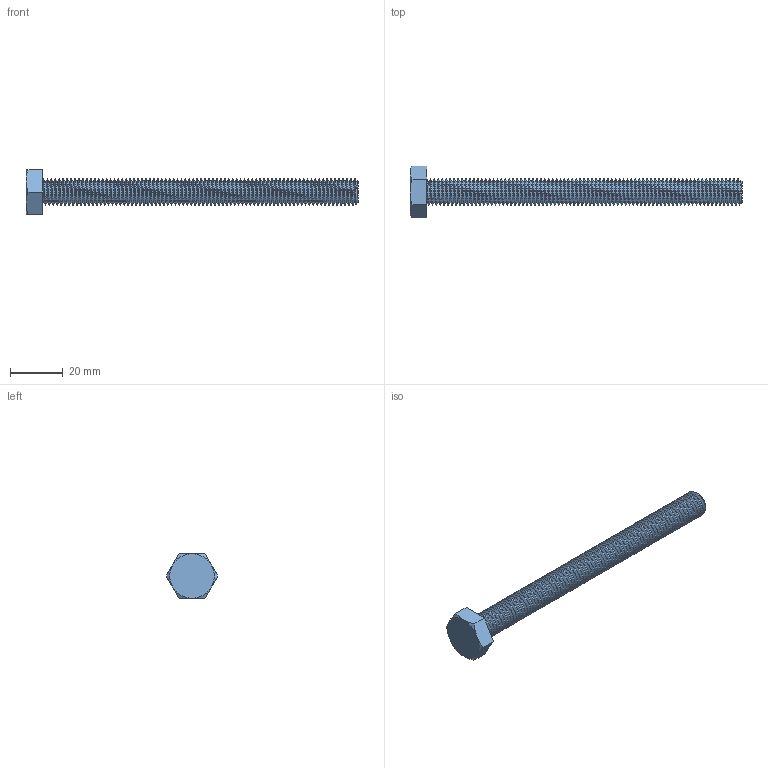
import cadquery as cq
import math

width_across_flats = 17.0
head_height = 6.4
head_chamfer_angle = 30.0
width_across_corners = width_across_flats / math.cos(math.radians(30))
corner_projection = (width_across_corners - width_across_flats) / 2
head_chamfer_drop = corner_projection * math.tan(math.radians(head_chamfer_angle))

shank_length = 120.0
major_radius = 5.0
pitch = 1.5
crest_share = 1 / 8
root_share = 1 / 6
sharp_height = pitch * math.sqrt(3) / 2
thread_depth = sharp_height * (1 - crest_share - root_share)
minor_radius = major_radius - thread_depth
crest_width = pitch * crest_share
root_width = pitch * root_share
flank_width = (pitch - crest_width - root_width) / 2
first_crest_offset = 0.28

thread_start = first_crest_offset - crest_width / 2 - flank_width - root_width - pitch
turn_count = math.ceil((shank_length - thread_start) / pitch)

tip_chamfer = 1.0


def revolve_about_axis(profile):
    """Turn a closed (X, radius) profile about the bolt axis."""
    return cq.Workplane("XY").polyline(profile).close().revolve(360, (0, 0, 0), (1, 0, 0))


def make_head():
    """Hexagon with two corners on the Y axis, its outer face chamfered to the inscribed circle."""
    corner_radius = width_across_corners / 2
    flat_radius = width_across_flats / 2
    hexagon = cq.Workplane("YZ").polygon(6, width_across_corners).extrude(-head_height)
    envelope = revolve_about_axis([
        (0, 0),
        (0, corner_radius),
        (head_chamfer_drop - head_height, corner_radius),
        (-head_height, flat_radius),
        (-head_height, 0),
    ])
    return hexagon.intersect(envelope)


def thread_profile(start):
    """(radius, height) corners over one pitch: root flat, rising flank, crest, falling flank."""
    return [
        (minor_radius, start),
        (minor_radius, start + root_width),
        (major_radius, start + root_width + flank_width),
        (major_radius, start + root_width + flank_width + crest_width),
        (minor_radius, start + pitch),
    ]


def helix_turn(radius, height):
    """One right-handed turn about Z, starting on +X at the given height."""
    return cq.Wire.makeHelix(pitch, pitch, radius).translate(cq.Vector(0, 0, height))


def make_thread_turn(start):
    """Four helical faces of one thread turn along Z."""
    rails = [helix_turn(radius, height) for radius, height in thread_profile(start)]
    return [cq.Face.makeRuledSurface(lower, upper) for lower, upper in zip(rails, rails[1:])]


def make_thread_end(start):
    """Close one end of the thread with a helical ramp to the axis and a flat radial step."""
    axis_low = cq.Vector(0, 0, start)
    axis_high = cq.Vector(0, 0, start + pitch)
    ramp_axis = cq.Wire.assembleEdges([cq.Edge.makeLine(axis_low, axis_high)])
    ramp = cq.Face.makeRuledSurface(ramp_axis, helix_turn(minor_radius, start))
    step_corners = [cq.Vector(radius, 0, height) for radius, height in thread_profile(start)]
    step_corners += [axis_high, axis_low]
    step = cq.Face.makeFromWires(cq.Wire.makePolygon(step_corners, close=True))
    return [ramp, step]


def make_thread():
    """Solid threaded rod along X, longer than the shank at both ends."""
    thread_end = thread_start + turn_count * pitch
    faces = make_thread_end(thread_start) + make_thread_end(thread_end)
    for turn in range(turn_count):
        faces += make_thread_turn(thread_start + turn * pitch)
    rod = cq.Solid.makeSolid(cq.Shell.makeShell(faces))
    along_x = cq.Plane(origin=(0, 0, 0), xDir=(0, 0, 1), normal=(1, 0, 0))
    return cq.Workplane(obj=rod.moved(cq.Location(along_x)))


def make_shank():
    """Trim the threaded rod to the shank length and chamfer its tip."""
    clearance = thread_depth
    envelope = revolve_about_axis([
        (0, 0),
        (0, major_radius + clearance),
        (shank_length - tip_chamfer - clearance, major_radius + clearance),
        (shank_length, major_radius - tip_chamfer),
        (shank_length, 0),
    ])
    return make_thread().intersect(envelope, clean=False)


result = make_head().union(make_shank(), clean=False).solids()